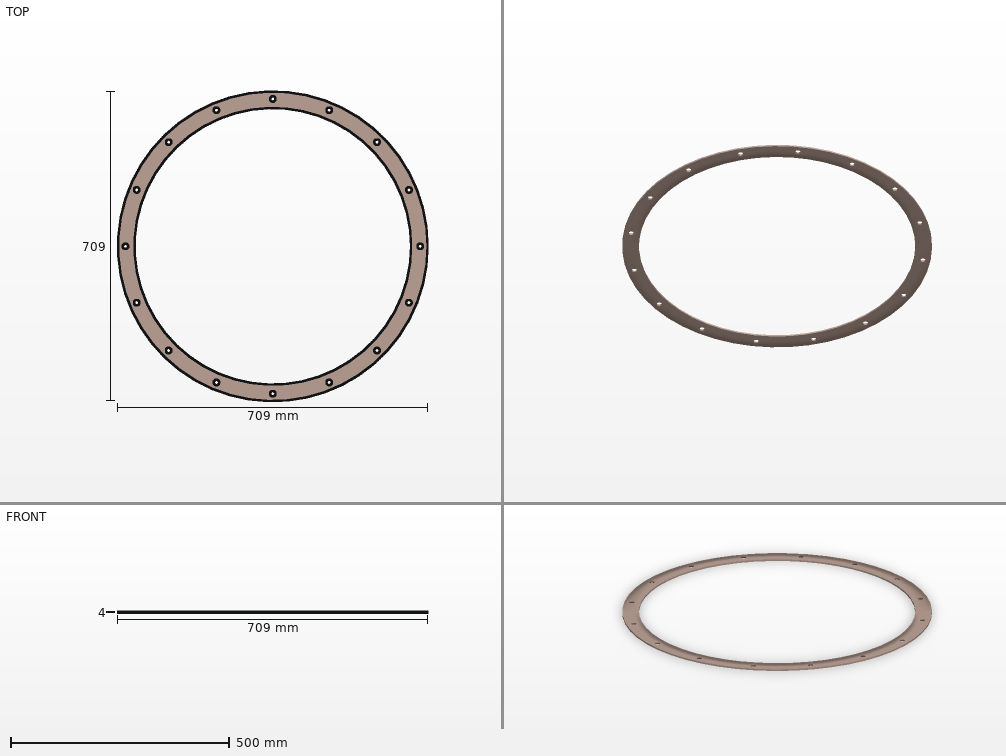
import cadquery as cq

outer_diameter = 709.0
inner_diameter = 632.5
thickness = 4.0

hole_count = 16
hole_diameter = 12.0
bolt_circle_diameter = 674.0

ring = (
    cq.Workplane("XY")
    .circle(outer_diameter / 2)
    .circle(inner_diameter / 2)
    .extrude(thickness)
)

bolt_holes = (
    cq.Workplane("XY")
    .polarArray(bolt_circle_diameter / 2, 0, 360, hole_count)
    .circle(hole_diameter / 2)
    .extrude(thickness)
)

result = ring.cut(bolt_holes)